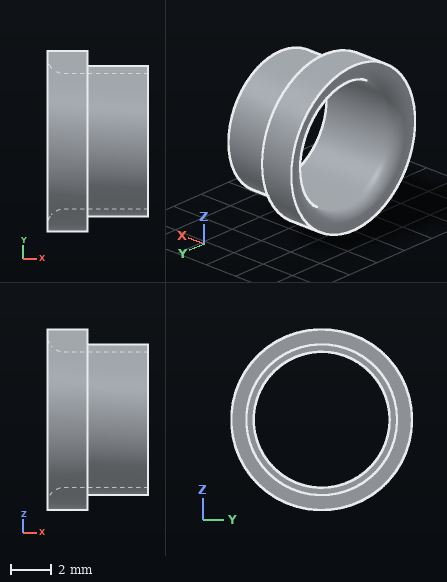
import cadquery as cq

flange_diameter = 9
sleeve_diameter = 7.5
bore_diameter = 6.75
total_length = 5.0
flange_length = 2.0
mouth_radius = 0.8


def cylinder(diameter, length):
    """Solid cylinder along +X, starting at X = 0."""
    return cq.Workplane("YZ").circle(diameter / 2).extrude(length)


flange = cylinder(flange_diameter, flange_length)
sleeve = cylinder(sleeve_diameter, total_length)
bore = cylinder(bore_diameter, total_length)
bushing = flange.union(sleeve).cut(bore)

bore_edge = cq.selectors.RadiusNthSelector(0)
result = bushing.faces("<X").edges(bore_edge).fillet(mouth_radius)